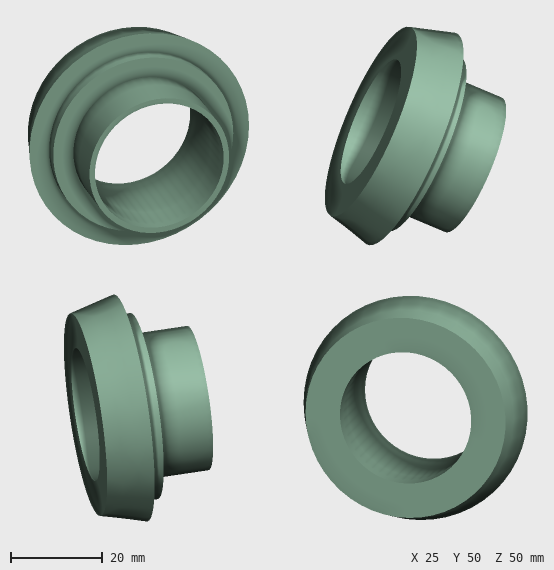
import cadquery as cq
import math

total_length = 25.0
flange_length = 10.0
collar_length = 3.0

flange_diameter = 50.0
collar_diameter = 41.0
sleeve_diameter = 31.8
bore_diameter = 29.3

flange_slope = 15.0

flange_radius = flange_diameter / 2
face_radius = flange_radius - flange_length * math.tan(math.radians(flange_slope))
collar_radius = collar_diameter / 2
sleeve_radius = sleeve_diameter / 2
bore_radius = bore_diameter / 2
collar_end = flange_length + collar_length

half_section = (
    cq.Workplane("XY")
    .moveTo(0, bore_radius)
    .lineTo(0, face_radius)
    .lineTo(flange_length, flange_radius)
    .lineTo(flange_length, collar_radius)
    .lineTo(collar_end, collar_radius)
    .lineTo(collar_end, sleeve_radius)
    .lineTo(total_length, sleeve_radius)
    .lineTo(total_length, bore_radius)
    .close()
)

result = half_section.revolve(360, (0, 0, 0), (1, 0, 0))